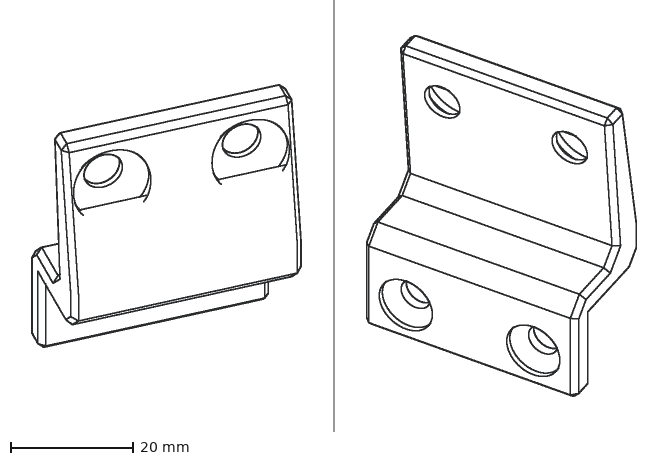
import cadquery as cq
import math

depth = 21.0
width = 40.0
height = 50.55
edge_chamfer = 1.0

leg_thickness = 5.0
shelf_bottom = 15.0
shelf_top = 20.0
corner_cut = 3.0
shelf_end = 10.95
blade_front_x = 13.7
blade_back_z = 23.5
blade_top_front_x = 11.1
blade_top_back_x = 16.25

hole_spacing = 24.0
mount_hole_z = 7.5
mount_hole_diameter = 5.5
mount_sink_diameter = 10.0
mount_sink_lead = 1.0
blade_hole_z = 41.7
blade_hole_diameter = 6.6
blade_sink_diameter = 13.4
blade_sink_end_x = 18.3
blade_sink_lead = 1.5
sink_angle = 90.0


def bracket_body():
    """Extrude the stepped section and bevel its ends, top and foot."""
    section = [
        (0, 0),
        (leg_thickness, 0),
        (leg_thickness, shelf_bottom),
        (depth - corner_cut, shelf_bottom),
        (depth, shelf_bottom + corner_cut),
        (depth, blade_back_z),
        (blade_top_back_x, height),
        (blade_top_front_x, height),
        (blade_front_x, shelf_top + blade_front_x - shelf_end),
        (shelf_end, shelf_top),
        (corner_cut, shelf_top),
        (0, shelf_top - corner_cut),
    ]
    body = cq.Workplane("XZ").polyline(section).close().extrude(width / 2, both=True)
    return body.faces("<Y or >Y or >Z or <Z").edges().chamfer(edge_chamfer)


def countersunk_hole(y, z, mouth_x, inward, hole_diameter, sink_diameter, lead):
    """Cutter along X: a short straight mouth, a cone and a through hole."""
    hole_radius = hole_diameter / 2
    sink_radius = sink_diameter / 2
    cone_depth = (sink_radius - hole_radius) / math.tan(math.radians(sink_angle / 2))
    cone_start = mouth_x + inward * lead
    cone_end = cone_start + inward * cone_depth
    hole_end = mouth_x + inward * depth
    half_section = [
        (mouth_x, 0),
        (mouth_x, sink_radius),
        (cone_start, sink_radius),
        (cone_end, hole_radius),
        (hole_end, hole_radius),
        (hole_end, 0),
    ]
    cutter = cq.Workplane("XY").polyline(half_section).close().revolve(360, (0, 0), (1, 0))
    return cutter.translate((0, y, z))


result = bracket_body()
for y in (-hole_spacing / 2, hole_spacing / 2):
    result = result.cut(countersunk_hole(
        y, mount_hole_z, 0, 1, mount_hole_diameter, mount_sink_diameter, mount_sink_lead))
    result = result.cut(countersunk_hole(
        y, blade_hole_z, blade_sink_end_x, -1, blade_hole_diameter, blade_sink_diameter, blade_sink_lead))